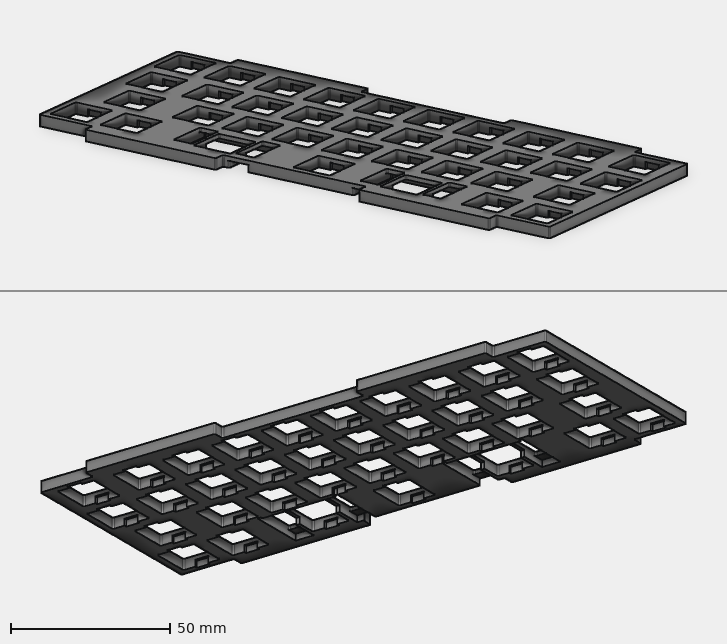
import cadquery as cq
length = 195.3
length_in_units = 10.25
unit = length / length_in_units

key_rows = (
    (1,) * 9 + (1.25,),
    (1.25,) + (1,) * 9,
    (1.75,) + (1,) * 7 + (1.5,),
    (1, 1, 2.75, 1.25, 2.25, 1, 1),
)
stabilized_width = 2

body_width = len(key_rows) * unit
overall_width = 84.2
thickness = 4.0
corner_radius = 0.5
front = -body_width / 2

tab_length = 50.0
tab_gap = 54.7

switch_size = 14.0
opening_radius = 0.5
web_thickness = 1.5
relief_height = thickness - web_thickness
notch_length = 5.0
notch_depth = 1.0

stabilizer_width = 7.0
stabilizer_length = 14.6
stabilizer_spacing = 23.8
stabilizer_shift = 1.4

bar_margin = 1.5
end_slot_margin = 2.3
end_slot_width = 1.2


def key_centers():
    """Return (x, y, width in key units) for every key."""
    centers = []
    for row, widths in enumerate(key_rows):
        y = body_width / 2 - (row + 0.5) * unit
        left = -length / 2
        for width in widths:
            centers.append((left + width * unit / 2, y, width))
            left += width * unit
    return centers


def block(x_min, x_size, y_min, y_max, height):
    """Box standing on the bottom face."""
    box = cq.Workplane("XY").box(x_size, y_max - y_min, height, centered=False)
    return box.translate((x_min, y_min, 0))


def prisms(points, x_size, y_size, height):
    """Rectangular prisms standing on the bottom face, one centered on each point."""
    return cq.Workplane("XY").pushPoints(points).rect(x_size, y_size).extrude(height)


def plate():
    """Rectangular body with its tabs and rounded outline corners."""
    body = prisms([(0, 0)], length, body_width, thickness)
    tab_offset = (tab_gap + tab_length) / 2
    tabs = prisms([(-tab_offset, 0), (tab_offset, 0)], tab_length, overall_width, thickness)
    return body.union(tabs).edges("|Z").fillet(corner_radius)


def through_openings(points, x_size, y_size):
    """Rectangular openings with rounded corners through the whole plate."""
    return prisms(points, x_size, y_size, thickness).edges("|Z").fillet(opening_radius)


def stabilizer_relief(x, y):
    """Bottom pocket: a bar behind the key center, legs to the front edge, a slot behind each end."""
    half_span = (stabilizer_spacing + stabilizer_width) / 2
    left = x - half_span
    right = x + half_span
    opening_back = y + stabilizer_shift + stabilizer_length / 2
    bar_back = opening_back + bar_margin
    slot_back = opening_back + end_slot_margin
    relief = block(left, 2 * half_span, y, bar_back, relief_height)
    for leg_left in (left, right - stabilizer_width):
        relief = relief.union(block(leg_left, stabilizer_width, front, bar_back, relief_height))
    for slot_left in (left, right - end_slot_width):
        relief = relief.union(block(slot_left, end_slot_width, y, slot_back, relief_height))
    return relief


def round_leg_mouths(body):
    """Round the upright edges where relief legs open through the front edge between the tabs."""
    half_gap = tab_gap / 2 - 2 * corner_radius
    margin = corner_radius / 2
    mouths = cq.selectors.BoxSelector(
        (-half_gap, front - margin, 0),
        (half_gap, front + margin, relief_height),
    )
    return body.edges("|Z").edges(mouths).fillet(corner_radius)


keys = key_centers()
switch_points = [(x, y) for x, y, _ in keys]
wide_points = [(x, y) for x, y, width in keys if width >= stabilized_width]
stabilizer_points = [
    (x + side * stabilizer_spacing / 2, y + stabilizer_shift)
    for x, y in wide_points
    for side in (-1, 1)
]

result = plate()
result = result.cut(through_openings(switch_points, switch_size, switch_size))
result = result.cut(prisms(switch_points, notch_length, switch_size + 2 * notch_depth, relief_height))
result = result.cut(through_openings(stabilizer_points, stabilizer_width, stabilizer_length))
for key_x, key_y in wide_points:
    result = result.cut(stabilizer_relief(key_x, key_y))
result = round_leg_mouths(result)